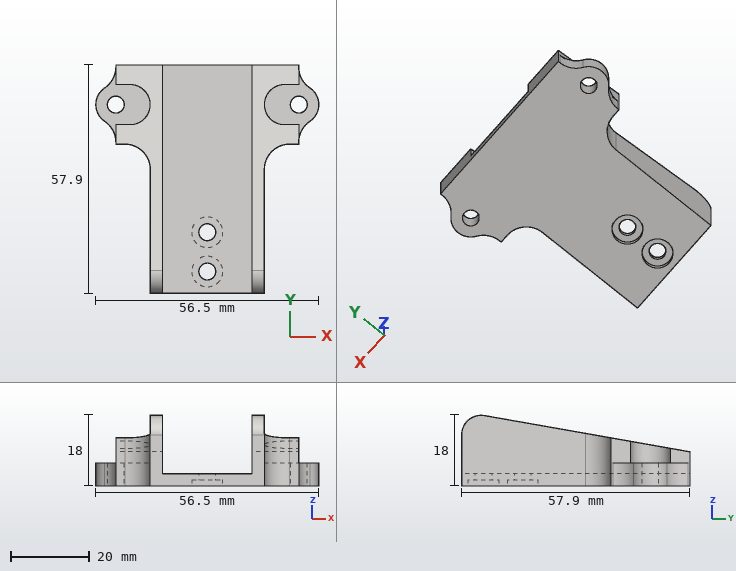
import cadquery as cq
import math

length = 57.85
overall_width = 56.55
channel_width = 22.55
wall = 3.2
floor = 3.2
back_height = 8.75
slope_angle = 10.0
nose_radius = 5.0

ear_radius = 5.1
ear_height = 5.9
flange_depth = 20.1
root_radius = 6.35
screw_hole = 4.2

front_hole_offset = 5.55
floor_hole_pitch = 9.95
counterbore_diameter = 7.8
counterbore_depth = 1.6

back_y = length / 2
front_y = -length / 2
wall_outer = channel_width / 2 + wall
flange_outer = overall_width / 2 - ear_radius
flange_front_y = back_y - flange_depth
ear_y = back_y - flange_depth / 2
front_height = back_height + length * math.tan(math.radians(slope_angle))


def block(x_min, x_max, y_min, y_max, z_min, z_max):
    size = (x_max - x_min, y_max - y_min, z_max - z_min)
    return cq.Workplane("XY").box(*size, centered=False).translate((x_min, y_min, z_min))


def tapered_body():
    """T-shaped plan, cut to a sloping side profile with a rounded front, then channelled."""
    root_y = flange_front_y - root_radius
    root_x = wall_outer + root_radius
    root_mid = root_radius * math.sqrt(0.5)
    plan = (
        cq.Workplane("XY")
        .moveTo(0, front_y)
        .lineTo(wall_outer, front_y)
        .lineTo(wall_outer, root_y)
        .threePointArc((root_x - root_mid, root_y + root_mid), (root_x, flange_front_y))
        .lineTo(flange_outer, flange_front_y)
        .lineTo(flange_outer, back_y)
        .lineTo(0, back_y)
        .close()
        .extrude(front_height)
    )
    plan = plan.union(plan.mirror("YZ"))
    profile = (
        cq.Workplane("YZ")
        .polyline([(front_y, 0), (back_y, 0), (back_y, back_height), (front_y, front_height)])
        .close()
        .extrude(flange_outer, both=True)
        .edges("|X and <Y and >Z")
        .fillet(nose_radius)
    )
    channel = block(-channel_width / 2, channel_width / 2, front_y, back_y, floor, front_height)
    return plan.intersect(profile).cut(channel)


def ear():
    """Rounded right-hand ear, blended into the flange side by tangent concave arcs."""
    blend_x = flange_outer + root_radius
    blend_rise = math.sqrt((ear_radius + root_radius) ** 2 - root_radius ** 2)
    blend_angle = math.atan2(blend_rise, root_radius)
    joint_x = flange_outer + ear_radius * math.cos(blend_angle)
    joint_rise = ear_radius * math.sin(blend_angle)
    mid_x = blend_x - root_radius * math.cos(blend_angle / 2)
    mid_rise = blend_rise - root_radius * math.sin(blend_angle / 2)
    return (
        cq.Workplane("XY")
        .moveTo(wall_outer, ear_y - blend_rise)
        .lineTo(flange_outer, ear_y - blend_rise)
        .threePointArc((mid_x, ear_y - mid_rise), (joint_x, ear_y - joint_rise))
        .threePointArc((flange_outer + ear_radius, ear_y), (joint_x, ear_y + joint_rise))
        .threePointArc((mid_x, ear_y + mid_rise), (flange_outer, ear_y + blend_rise))
        .lineTo(wall_outer, ear_y + blend_rise)
        .close()
        .extrude(ear_height)
    )


def screw_pocket():
    """Round-ended clearance above the right-hand ear, open to the outside."""
    end_x = wall_outer + ear_radius
    pocket = block(end_x, overall_width / 2, ear_y - ear_radius, ear_y + ear_radius, ear_height, front_height)
    round_end = (
        cq.Workplane("XY", origin=(end_x, ear_y, ear_height))
        .circle(ear_radius)
        .extrude(front_height - ear_height)
    )
    return pocket.union(round_end)


result = tapered_body()
result = result.union(ear()).union(ear().mirror("YZ"))
result = result.cut(screw_pocket()).cut(screw_pocket().mirror("YZ"))

front_hole_y = front_y + front_hole_offset
ear_centers = [(-flange_outer, ear_y), (flange_outer, ear_y)]
floor_centers = [(0, front_hole_y), (0, front_hole_y + floor_hole_pitch)]
holes = (
    cq.Workplane("XY")
    .pushPoints(ear_centers + floor_centers)
    .circle(screw_hole / 2)
    .extrude(front_height)
)
counterbores = (
    cq.Workplane("XY")
    .pushPoints(floor_centers)
    .circle(counterbore_diameter / 2)
    .extrude(counterbore_depth)
)
result = result.cut(holes).cut(counterbores)